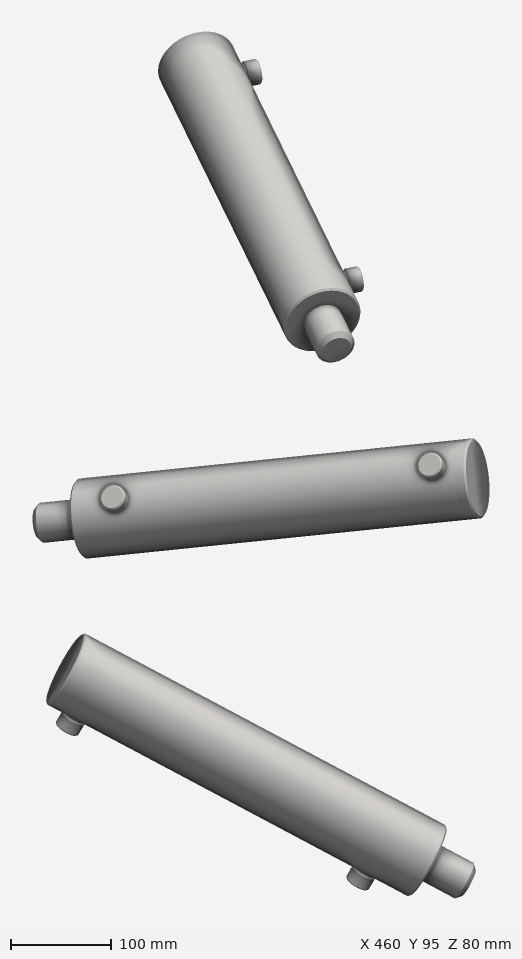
import cadquery as cq

total_length = 460.0
body_length = 413.5
body_diameter = 80.0
end_thickness = 11.5
end_chamfer = 2.0

rod_diameter = 40.0
rod_chamfer_length = 5.0
rod_chamfer_depth = 5.0

port_diameter = 25.8
port_chamfer = 1.5
port_height = 15.0
port_positions = (32.5, 364.0)

body_radius = body_diameter / 2
barrel_length = body_length - 2 * end_thickness
head_start = body_length - end_thickness
rod_length = total_length - head_start
port_top = body_radius + port_height


def cylinder_along_x(start, length, diameter):
    return cq.Workplane("YZ", origin=(start, 0, 0)).circle(diameter / 2).extrude(length)


def make_barrel():
    return cylinder_along_x(end_thickness, barrel_length, body_diameter)


def make_end_cap():
    cap = cylinder_along_x(0, end_thickness, body_diameter)
    return cap.faces("<X").chamfer(end_chamfer)


def make_head():
    """Rod-end head with a through bore that fits the rod."""
    head = cylinder_along_x(head_start, end_thickness, body_diameter)
    head = head.faces(">X").chamfer(end_chamfer)
    return head.cut(cylinder_along_x(head_start, end_thickness, rod_diameter))


def make_rod():
    """Rod that starts at the barrel face and runs out through the head."""
    rod = cylinder_along_x(head_start, rod_length, rod_diameter)
    return rod.faces(">X").chamfer(rod_chamfer_length, rod_chamfer_depth)


def make_port(x):
    """Round port boss, chamfered at both ends, on a neck that is saddled onto the barrel."""
    boss = (
        cq.Workplane("XZ", origin=(x, port_top, 0))
        .circle(port_diameter / 2)
        .extrude(port_height)
        .faces("<Y or >Y")
        .chamfer(port_chamfer)
    )
    neck = (
        cq.Workplane("XZ", origin=(x, body_radius, 0))
        .circle(port_diameter / 2 - port_chamfer)
        .extrude(body_radius / 2)
    )
    return boss.union(neck).cut(cylinder_along_x(0, body_length, body_diameter))


barrel = make_barrel()
end_cap = make_end_cap()
head = make_head()
rod = make_rod()
ports = [make_port(x) for x in port_positions]

result = cq.Compound.makeCompound(
    [barrel.val(), end_cap.val(), head.val(), rod.val(), *[port.val() for port in ports]]
)